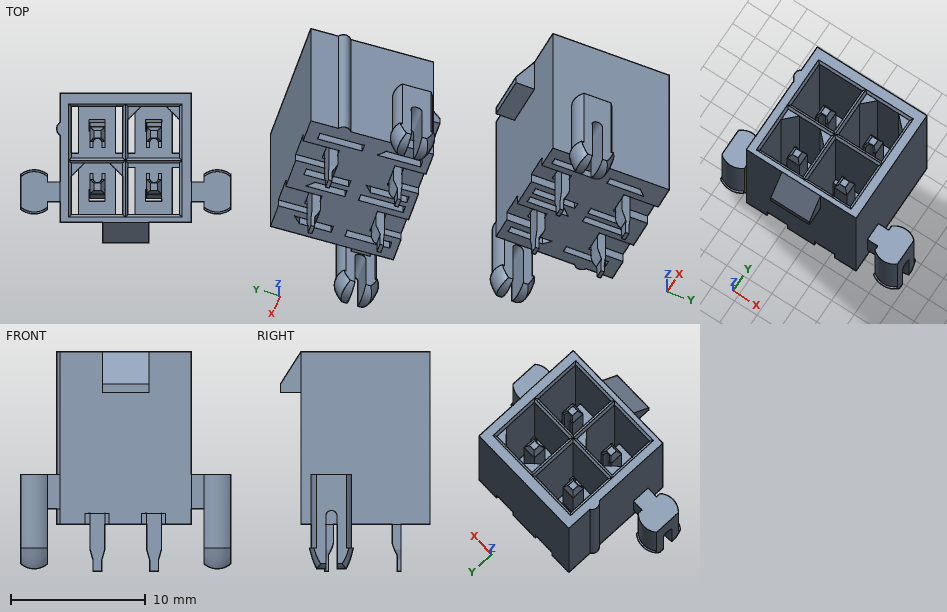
import cadquery as cq


PITCH = 4.2
CELL_SHIFT = -0.03
GRID_SIGNS = (-1, 1)

OVERALL_HEIGHT = 16.3
HOUSING_WIDTH = 9.75
HOUSING_HEIGHT = 12.81
FRONT_WALL = 0.39
BACK_WALL = 0.78
FRONT_Y = -PITCH - FRONT_WALL
BACK_Y = PITCH + BACK_WALL

MOUTH_CHAMFER = 0.2
CELL_SIZE = PITCH - 2 * MOUTH_CHAMFER
KEYED_CORNER = 0.98
FLOOR_Z = 2.77

FLOOR_SLOT_WIDTH = 0.52
FLOOR_SLOT_LENGTH = 3.47

NOTCH_WIDTH = 1.8
NOTCH_HEIGHT = 0.82

LATCH_WIDTH = 3.42
LATCH_REACH = 1.52
LATCH_HEIGHT = 3.03
LATCH_LIP = 0.65

KEY_RADIUS = 0.57
KEY_REACH = 0.26
KEY_Y = 2.35

PEG_X = 6.8
PEG_Y = -2.33
PEG_RADIUS = 1.5
PEG_WIDTH = 2.0
PEG_TOP = 3.72
PEG_BOTTOM = -3.31
BARB_RADIUS = 1.65
BARB_TOP = -1.75
BARB_MIDDLE = (1.45, -2.48)
BARB_TIP_RADIUS = 1.1
PEG_SLOT_WIDTH = 0.83
PEG_SLOT_TOP = 1.03
WEB_THICKNESS = 1.48
WEB_BOTTOM = 1.14

PIN_WIDTH = 1.11
PIN_OUTER = 2.84
POST_OUTER = 2.48
POST_INNER = 1.4
POST_TOP = 9.78
TIP_HEIGHT = 0.73
TIP_WIDTH = 0.52
TIP_OUTER = 2.22
TIP_INNER = 1.66
SHOULDER_INNER = 2.53
SHOULDER_RISE = 1.11
FOOT_HEIGHT = 0.65
SHOULDER_Z = FLOOR_Z + FOOT_HEIGHT
FOOT_INNER = 0.98
CHANNEL_BOTTOM = 1.65
SIDE_THICKNESS = 0.23

TAIL_THICKNESS = 0.67
TAIL_INNER = PIN_OUTER - TAIL_THICKNESS
TAIL_BOTTOM = HOUSING_HEIGHT - OVERALL_HEIGHT
TAIL_THINNING_TOP = -1.37
TAIL_THINNING_MIDDLE = (2.28, -1.75)
TAIL_THINNING_BOTTOM = -2.28
TAIL_TIP_THICKNESS = 0.3
TAIL_TIP_WIDTH = 0.67
TAIL_TAPER_TOP = -1.87
TAIL_TAPER_BOTTOM = -2.64

PIN_HOLE_OUTER = 3.02
PIN_HOLE_WIDTH = PIN_WIDTH + 2 * abs(CELL_SHIFT)


def box(x_range, y_range, z_range):
    """Axis-aligned block between the given limits."""
    (x0, x1), (y0, y1), (z0, z1) = x_range, y_range, z_range
    return cq.Workplane("XY").box(x1 - x0, y1 - y0, z1 - z0, centered=False).translate((x0, y0, z0))


def centered_range(middle, width):
    return (middle - width / 2, middle + width / 2)


def outward_range(row, inner, outer):
    """Y limits of a feature between two outward distances, in the front (-1) or back (+1) row."""
    return tuple(sorted((row * inner, row * outer)))


def cell_cut(column, row):
    """Everything cut for one cell: cavity, mouth, floor slots, terminal hole and notch."""
    cell_x = column * PITCH / 2 + CELL_SHIFT
    cell_y = row * PITCH / 2

    shaft = box(
        centered_range(cell_x, CELL_SIZE),
        centered_range(cell_y, CELL_SIZE),
        (0, HOUSING_HEIGHT - MOUTH_CHAMFER),
    )
    if column == row:
        shaft = shaft.edges("|Z and >Y").chamfer(KEYED_CORNER)

    mouth = (
        cq.Workplane("XY", origin=(cell_x, cell_y, HOUSING_HEIGHT - MOUTH_CHAMFER))
        .rect(CELL_SIZE, CELL_SIZE)
        .workplane(offset=MOUTH_CHAMFER)
        .rect(PITCH, PITCH)
        .loft(ruled=True)
    )

    bridge_width = CELL_SIZE - 2 * FLOOR_SLOT_WIDTH
    ledge_inner = MOUTH_CHAMFER
    ledge_outer = MOUTH_CHAMFER + CELL_SIZE - FLOOR_SLOT_LENGTH
    floor_z = (0, FLOOR_Z)
    bridge = box(centered_range(cell_x, bridge_width), centered_range(cell_y, CELL_SIZE), floor_z)
    ledge = box(
        centered_range(cell_x, CELL_SIZE), outward_range(row, ledge_inner, ledge_outer), floor_z
    )
    hole = box(
        centered_range(cell_x, PIN_HOLE_WIDTH), outward_range(row, TAIL_INNER, PIN_HOLE_OUTER), floor_z
    )
    notch_outer = BACK_Y if row > 0 else -FRONT_Y
    notch = box(
        centered_range(cell_x, NOTCH_WIDTH),
        outward_range(row, TAIL_INNER, notch_outer),
        (0, NOTCH_HEIGHT),
    )
    return shaft.cut(bridge).cut(ledge).union(mouth).union(hole).union(notch)


def latch():
    """Ramp that slopes out from the top edge of the front face."""
    lip_y = FRONT_Y - LATCH_REACH
    latch_bottom = HOUSING_HEIGHT - LATCH_HEIGHT
    return (
        cq.Workplane("YZ", origin=(-LATCH_WIDTH / 2, 0, 0))
        .moveTo(FRONT_Y, HOUSING_HEIGHT)
        .lineTo(lip_y, latch_bottom + LATCH_LIP)
        .lineTo(lip_y, latch_bottom)
        .lineTo(FRONT_Y, latch_bottom)
        .close()
        .extrude(LATCH_WIDTH)
    )


def key_rib():
    """Full-height cylinder, mostly sunk in the -X wall."""
    axis_x = -HOUSING_WIDTH / 2 - KEY_REACH + KEY_RADIUS
    outside = box((-HOUSING_WIDTH, -HOUSING_WIDTH / 2), (FRONT_Y, BACK_Y), (0, HOUSING_HEIGHT))
    cylinder = cq.Workplane("XY", origin=(axis_x, KEY_Y, 0)).circle(KEY_RADIUS).extrude(HOUSING_HEIGHT)
    return cylinder.intersect(outside)


def peg():
    """Flattened split peg with a barbed tip, around the Z axis."""
    turned = (
        cq.Workplane("XZ")
        .moveTo(0, PEG_TOP)
        .lineTo(PEG_RADIUS, PEG_TOP)
        .lineTo(PEG_RADIUS, BARB_TOP)
        .lineTo(BARB_RADIUS, BARB_TOP)
        .threePointArc(BARB_MIDDLE, (BARB_TIP_RADIUS, PEG_BOTTOM))
        .lineTo(0, PEG_BOTTOM)
        .close()
        .revolve(360, (0, 0, 0), (0, 1, 0))
    )
    half = PEG_WIDTH / 2
    flat_bottom = PEG_BOTTOM + PEG_RADIUS - (PEG_RADIUS**2 - half**2) ** 0.5
    outline = (
        cq.Workplane("XZ")
        .moveTo(-half, PEG_TOP)
        .lineTo(-half, flat_bottom)
        .threePointArc((0, PEG_BOTTOM), (half, flat_bottom))
        .lineTo(half, PEG_TOP)
        .close()
        .extrude(BARB_RADIUS, both=True)
    )
    slot_round_z = PEG_SLOT_TOP - PEG_SLOT_WIDTH / 2
    slot = (
        cq.Workplane("YZ")
        .moveTo(-PEG_SLOT_WIDTH / 2, PEG_BOTTOM)
        .lineTo(-PEG_SLOT_WIDTH / 2, slot_round_z)
        .threePointArc((0, PEG_SLOT_TOP), (PEG_SLOT_WIDTH / 2, slot_round_z))
        .lineTo(PEG_SLOT_WIDTH / 2, PEG_BOTTOM)
        .close()
        .extrude(PEG_WIDTH, both=True)
    )
    return turned.intersect(outline).cut(slot)


def make_housing():
    body = box(centered_range(0, HOUSING_WIDTH), (FRONT_Y, BACK_Y), (0, HOUSING_HEIGHT))
    body = body.union(latch()).union(key_rib())
    for side in GRID_SIGNS:
        web_x = tuple(sorted((side * HOUSING_WIDTH / 2, side * (PEG_X - PEG_WIDTH / 2))))
        web = box(web_x, centered_range(PEG_Y, WEB_THICKNESS), (WEB_BOTTOM, PEG_TOP))
        body = body.union(web).union(peg().translate((side * PEG_X, PEG_Y, 0)))
    for column in GRID_SIGNS:
        for row in GRID_SIGNS:
            body = body.cut(cell_cut(column, row))
    return body


def make_terminal():
    """Terminal of the back row, at X = 0, with its outer face towards +Y."""
    tip_base = POST_TOP - TIP_HEIGHT
    half_width = PIN_WIDTH / 2
    profile = (
        cq.Workplane("YZ", origin=(-half_width, 0, 0))
        .moveTo(POST_OUTER, tip_base)
        .lineTo(POST_OUTER, SHOULDER_Z + SHOULDER_RISE)
        .lineTo(SHOULDER_INNER, SHOULDER_Z + SHOULDER_RISE)
        .lineTo(PIN_OUTER, SHOULDER_Z)
        .lineTo(PIN_OUTER, TAIL_BOTTOM)
        .lineTo(PIN_OUTER - TAIL_TIP_THICKNESS, TAIL_BOTTOM)
        .lineTo(PIN_OUTER - TAIL_TIP_THICKNESS, TAIL_THINNING_BOTTOM)
        .threePointArc(TAIL_THINNING_MIDDLE, (TAIL_INNER, TAIL_THINNING_TOP))
        .lineTo(TAIL_INNER, FLOOR_Z)
        .lineTo(POST_INNER, FLOOR_Z)
        .lineTo(POST_INNER, tip_base)
        .close()
        .extrude(PIN_WIDTH)
    )
    half_tip = TAIL_TIP_WIDTH / 2
    width_outline = (
        cq.Workplane("XZ")
        .polyline([
            (-half_width, tip_base),
            (-half_width, TAIL_TAPER_TOP),
            (-half_tip, TAIL_TAPER_BOTTOM),
            (-half_tip, TAIL_BOTTOM),
            (half_tip, TAIL_BOTTOM),
            (half_tip, TAIL_TAPER_BOTTOM),
            (half_width, TAIL_TAPER_TOP),
            (half_width, tip_base),
        ])
        .close()
        .extrude(-PIN_OUTER)
    )
    tip = (
        cq.Workplane("XY", origin=(0, (POST_OUTER + POST_INNER) / 2, tip_base))
        .rect(PIN_WIDTH, POST_OUTER - POST_INNER)
        .workplane(offset=TIP_HEIGHT)
        .center(0, (TIP_OUTER + TIP_INNER - POST_OUTER - POST_INNER) / 2)
        .rect(TIP_WIDTH, TIP_OUTER - TIP_INNER)
        .loft(ruled=True)
    )
    channel_half = half_width - SIDE_THICKNESS
    channel = (
        cq.Workplane("XY", origin=(0, 0, FLOOR_Z))
        .moveTo(-channel_half, FOOT_INNER)
        .lineTo(-channel_half, CHANNEL_BOTTOM - channel_half)
        .threePointArc((0, CHANNEL_BOTTOM), (channel_half, CHANNEL_BOTTOM - channel_half))
        .lineTo(channel_half, FOOT_INNER)
        .close()
        .extrude(POST_TOP - FLOOR_Z)
    )
    terminal = profile.intersect(width_outline).union(tip).cut(channel)
    for side in GRID_SIGNS:
        foot_x = tuple(sorted((side * half_width, side * (half_width - SIDE_THICKNESS))))
        terminal = terminal.union(box(foot_x, (FOOT_INNER, POST_INNER), (FLOOR_Z, SHOULDER_Z)))
    return terminal


housing = make_housing()

terminals = []
for column in GRID_SIGNS:
    front_terminal = make_terminal().mirror("XZ")
    for terminal in (front_terminal, make_terminal()):
        terminals.append(terminal.translate((column * PITCH / 2, 0, 0)).val())

result = cq.Compound.makeCompound([housing.val(), *terminals])